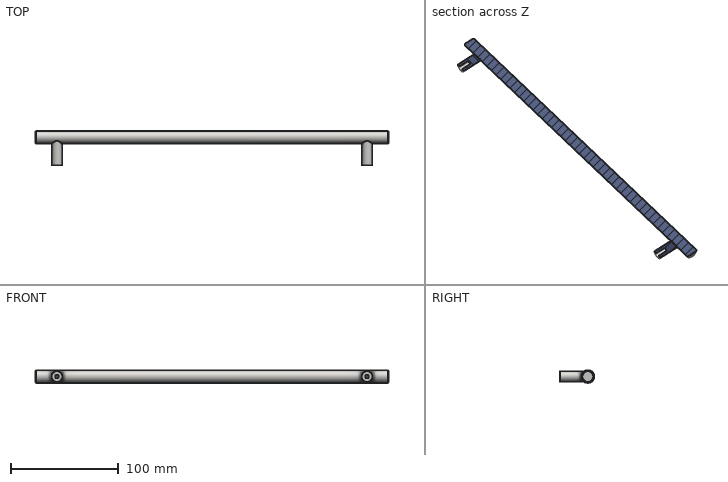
import cadquery as cq

post_spacing = 288.0
bar_overhang = 20.0
bar_diameter = 12.0
bar_end_chamfer = 1.0
bar_length = post_spacing + 2 * bar_overhang

post_diameter = 10.0
total_depth = 32.0
mounting_face_y = bar_diameter / 2 - total_depth

screw_hole_diameter = 3.4
screw_hole_depth = 10.0


def make_bar():
    """Round bar along the X axis, centred on the origin, with both end rims chamfered."""
    end_plane = cq.Workplane("YZ", origin=(-bar_length / 2, 0, 0))
    bar = end_plane.circle(bar_diameter / 2).extrude(bar_length)
    return bar.faces("<X or >X").edges().chamfer(bar_end_chamfer)


def make_post(x, bar):
    """Round post whose inner end is saddled to the bar, with a blind screw hole in its mounting face."""
    mounting_plane = cq.Workplane("XZ", origin=(x, mounting_face_y, 0))
    post = mounting_plane.circle(post_diameter / 2).extrude(mounting_face_y)
    screw_hole = mounting_plane.circle(screw_hole_diameter / 2).extrude(-screw_hole_depth)
    return post.cut(bar).cut(screw_hole)


bar = make_bar()
posts = [make_post(side * post_spacing / 2, bar) for side in (-1, 1)]

result = cq.Compound.makeCompound([bar.val(), *[post.val() for post in posts]])